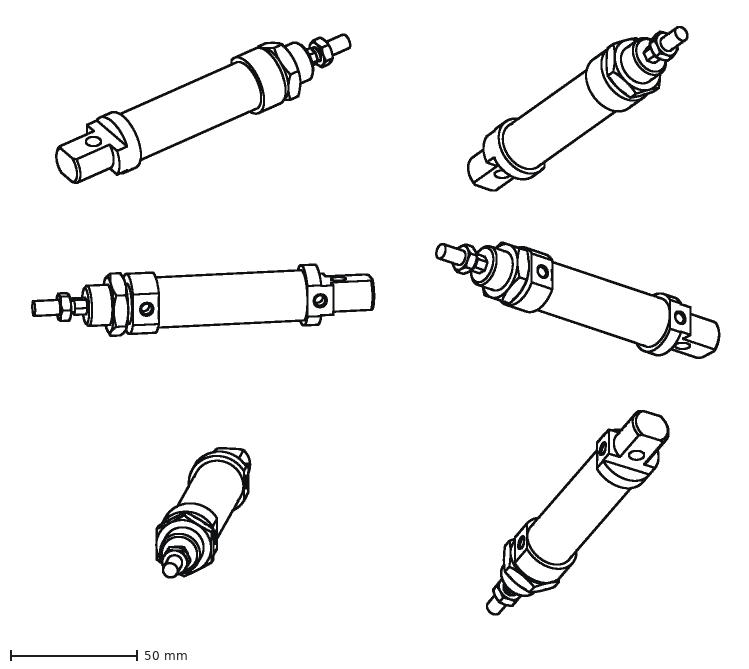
import cadquery as cq
import math

full_length = 136.0
rear_block_rear = 17.1
rear_cap_rear = 22.0
rear_cap_front = 27.6
front_cap_rear = 87.6
front_cap_front = 98.0
neck_front = 115.0
mount_nut_rear = 100.1
mount_nut_thickness = 5.8
rod_hex_front = 120.0
rod_nut_rear = 121.9
rod_nut_thickness = 4.1

tube_diameter = 20.0
cap_diameter = 24.0
neck_diameter = 16.0
neck_chamfer = 1.0
port_face_x = -10.2
tongue_thickness = 12.0
pivot_hole_diameter = 6.0
pivot_hole_y = 13.0
port_diameter = 4.2
port_mouth_diameter = 5.3
port_depth = 5.5
front_port_y = 92.5
rear_port_y = 22.5

mount_nut_across_flats = 22.0
rod_nut_across_flats = 9.9
rod_diameter = 6.0
rod_hex_across_flats = 6.0
groove_diameter = 4.5
groove_width = 1.5
nut_chamfer_angle = 30.0

CORNERS_ON_X = 0
CORNERS_ON_Z = 30

cross_section = cq.Plane(origin=(0, 0, 0), xDir=(1, 0, 0), normal=(0, 1, 0))


def corner_radius_of_hexagon(across_flats):
    return across_flats / 2 / math.cos(math.radians(30))


def disc(diameter, start, end):
    """Round bar along Y from start to end."""
    return cq.Workplane(cross_section).workplane(offset=start).circle(diameter / 2).extrude(end - start)


def hexagon(across_flats, start, end, turn):
    """Hexagonal bar along Y from start to end."""
    across_corners = 2 * corner_radius_of_hexagon(across_flats)
    bar = cq.Workplane(cross_section).workplane(offset=start)
    bar = bar.polygon(6, across_corners).extrude(end - start)
    return bar.rotate((0, 0, 0), (0, 1, 0), turn)


def hex_nut(across_flats, bore, start, thickness, turn):
    """Hex nut whose corners are chamfered down to the flats at both faces."""
    end = start + thickness
    face_radius = across_flats / 2
    corner_radius = corner_radius_of_hexagon(across_flats)
    drop = (corner_radius - face_radius) * math.tan(math.radians(nut_chamfer_angle))
    envelope = (
        cq.Workplane("XY")
        .moveTo(0, start)
        .lineTo(face_radius, start)
        .lineTo(corner_radius, start + drop)
        .lineTo(corner_radius, end - drop)
        .lineTo(face_radius, end)
        .lineTo(0, end)
        .close()
        .revolve(360, (0, 0, 0), (0, 1, 0))
    )
    nut = hexagon(across_flats, start, end, turn).intersect(envelope)
    return nut.cut(disc(bore, start, end))


def rear_end():
    """Tongue and block of the rear cap, both trimmed to the tongue thickness."""
    tongue = disc(neck_diameter, 0, rear_block_rear).faces("<Y").chamfer(neck_chamfer)
    block = disc(cap_diameter, rear_block_rear, rear_cap_rear)
    slab = cq.Workplane("XY").box(
        cap_diameter, rear_cap_rear, tongue_thickness, centered=(True, False, True)
    )
    return tongue.union(block).intersect(slab)


def beyond_port_face():
    """Everything on the -X side of the port flat."""
    return cq.Workplane("XY").box(
        cap_diameter, full_length, cap_diameter, centered=(True, False, True)
    ).translate((port_face_x - cap_diameter / 2, 0, 0))


def pivot_hole():
    """Cross hole along Z through the tongue."""
    hole = cq.Workplane("XY").center(0, pivot_hole_y).circle(pivot_hole_diameter / 2)
    return hole.extrude(tongue_thickness, both=True)


def port(y):
    """Blind hole with a 45 degree mouth, entering the port flat along +X."""
    radius = port_diameter / 2
    mouth_radius = port_mouth_diameter / 2
    mouth_end = port_face_x + mouth_radius - radius
    bottom = port_face_x + port_depth
    return (
        cq.Workplane("XY")
        .moveTo(port_face_x, y)
        .lineTo(port_face_x, y + mouth_radius)
        .lineTo(mouth_end, y + radius)
        .lineTo(bottom, y + radius)
        .lineTo(bottom, y)
        .close()
        .revolve(360, (0, y, 0), (1, y, 0))
    )


def make_housing():
    """Tube with both caps, the front neck, the rear tongue and the two ports."""
    tube = disc(tube_diameter, rear_cap_front, front_cap_rear)
    rear_cap = disc(cap_diameter, rear_cap_rear, rear_cap_front)
    front_cap = disc(cap_diameter, front_cap_rear, front_cap_front)
    neck = disc(neck_diameter, front_cap_front, neck_front).faces(">Y").chamfer(neck_chamfer)
    body = rear_end().union(rear_cap).union(tube).union(front_cap).union(neck)
    body = body.cut(beyond_port_face()).cut(pivot_hole())
    for port_y in (front_port_y, rear_port_y):
        body = body.cut(port(port_y))
    return body


def make_rod():
    """Wrench hexagon, groove with a round bottom, then the round stud."""
    rod_radius = rod_diameter / 2
    groove_radius = groove_diameter / 2
    groove_front = rod_hex_front + groove_width
    stud = (
        cq.Workplane("XY")
        .moveTo(0, rod_hex_front)
        .lineTo(rod_radius, rod_hex_front)
        .threePointArc((groove_radius, rod_hex_front + groove_width / 2), (rod_radius, groove_front))
        .lineTo(rod_radius, full_length)
        .lineTo(0, full_length)
        .close()
        .revolve(360, (0, 0, 0), (0, 1, 0))
    )
    wrench_hex = hexagon(rod_hex_across_flats, neck_front, rod_hex_front, CORNERS_ON_X)
    return wrench_hex.union(stud)


housing = make_housing()
mount_nut = hex_nut(mount_nut_across_flats, neck_diameter, mount_nut_rear, mount_nut_thickness, CORNERS_ON_Z)
rod = make_rod()
rod_nut = hex_nut(rod_nut_across_flats, rod_diameter, rod_nut_rear, rod_nut_thickness, CORNERS_ON_X)

result = cq.Compound.makeCompound([housing.val(), mount_nut.val(), rod.val(), rod_nut.val()])